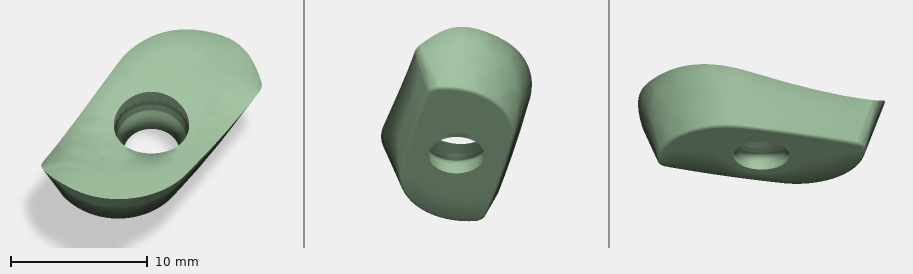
import cadquery as cq
import math

length = 17.64
height = 4.75
half_length = length / 2

floor_half_length = 7.23
floor_nose_radius = 4.97
floor_corner = (-3.56, -6.77)
floor_corner_radius = 0.88
rim_nose_radius = 6.5
rim_corner = (-5.4, -7.8)
rim_corner_radius = 0.53
nose_x = 1.41
side_lean = math.radians(4)
same_point = 0.002
floor_edge_radius = 0.25

throat_radius = 4.1 / 2
seat_radius = 2.54
shoulder_radius = 2.72
mouth_radius = 2.8
throat_z = 0.7
seat_z = 1.68
shoulder_z = 2.15

rake_half_x = 5.3
rake_half_y = 9.17
middle_heights = [3.69, 3.44, 3.35, 3.44, 3.69]
quarter_heights = [4.4, 4.22, 3.83, 3.45, 3.12]
end_heights = [4.87, 4.87, 4.85, 4.67, 2.73]


def turned(point):
    """Turn a plan point half a turn about the Z axis."""
    return (-point[0], -point[1])


def outline(z, nose_y, nose_radius, corner, corner_radius):
    """Closed outline with half-turn symmetry: nose arc, bowed side and shallow end arc, twice."""
    nose = (nose_x, nose_y)
    nose_center_y = nose_y - nose_radius

    def on_nose(angle):
        """Point of the nose arc, its angle measured up from the -X direction."""
        return (nose_x - nose_radius * math.cos(angle), nose_center_y + nose_radius * math.sin(angle))

    nose_start = on_nose(side_lean)
    nose_mid = on_nose(math.pi / 4)
    end_mid = end_middle(corner, turned(nose))
    sharp = (
        cq.Workplane("XY")
        .moveTo(*nose)
        .threePointArc(nose_mid, nose_start)
        .tangentArcPoint(corner, relative=False)
        .threePointArc(end_mid, turned(nose))
        .threePointArc(turned(nose_mid), turned(nose_start))
        .tangentArcPoint(turned(corner), relative=False)
        .threePointArc(turned(end_mid), nose)
        .close()
        .val()
    )
    corners = [
        vertex for vertex in sharp.Vertices()
        if is_at(vertex, corner) or is_at(vertex, turned(corner))
    ]
    return sharp.fillet2D(corner_radius, corners).moved(cq.Location(cq.Vector(0, 0, z)))


def is_at(vertex, point):
    """Whether a plan vertex lies on the given point."""
    return math.dist((vertex.X, vertex.Y), point) < same_point


def end_middle(corner, tip):
    """Midpoint of the end arc that leaves the tip along X and reaches the corner."""
    run = tip[0] - corner[0]
    rise = corner[1] - tip[1]
    radius = (run ** 2 + rise ** 2) / (2 * rise)
    half_angle = math.atan2(rise, run)
    return (tip[0] - radius * math.sin(half_angle), tip[1] + radius * (1 - math.cos(half_angle)))


def flank_body():
    """Flared blank with a rounded floor edge and a flat top."""
    floor = outline(0, floor_half_length, floor_nose_radius, floor_corner, floor_corner_radius)
    rim = outline(height, half_length, rim_nose_radius, rim_corner, rim_corner_radius)
    blank = cq.Workplane(cq.Solid.makeLoft([floor, rim], True))
    return blank.faces("<Z").edges().fillet(floor_edge_radius)


def rake_face():
    """Smooth twisted sheet that forms the top of the insert."""
    rows = [
        end_heights[::-1],
        quarter_heights[::-1],
        middle_heights,
        quarter_heights,
        end_heights,
    ]
    x_step = 2 * rake_half_x / (len(middle_heights) - 1)
    y_step = 2 * rake_half_y / (len(rows) - 1)
    points = []
    for column in range(len(middle_heights)):
        x = -rake_half_x + column * x_step
        points.append([
            cq.Vector(x, -rake_half_y + index * y_step, row[column])
            for index, row in enumerate(rows)
        ])
    return cq.Face.makeSplineApprox(points, tol=0.01)


def screw_hole():
    """Stepped hole with a rounded seat running smoothly into the throat."""
    run = seat_radius - throat_radius
    rise = seat_z - throat_z
    return (
        cq.Workplane("XZ")
        .lineTo(throat_radius, 0)
        .lineTo(throat_radius, throat_z)
        .tangentArcPoint((run, rise))
        .lineTo(shoulder_radius, shoulder_z)
        .lineTo(mouth_radius, height)
        .lineTo(0, height)
        .close()
        .revolve(360, (0, 0, 0), (0, 1, 0))
    )


pieces = flank_body().split(rake_face()).solids()
insert = pieces.sort(lambda piece: piece.Center().z).first()
result = insert.cut(screw_hole())